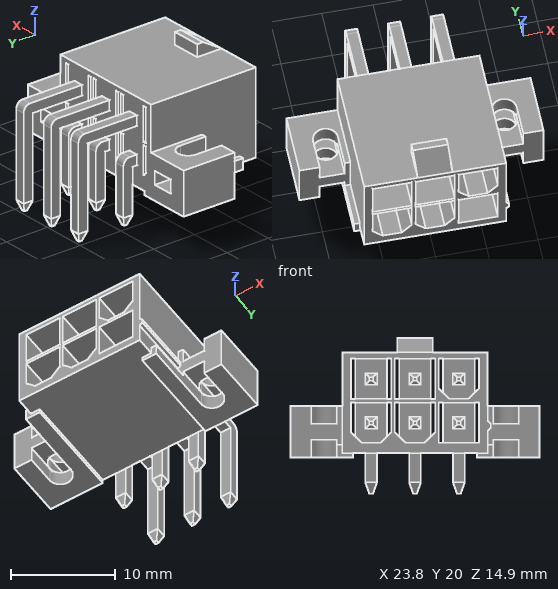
import cadquery as cq

OVERLAP = 0.24

HOUSING_WIDTH = 13.85
HOUSING_DEPTH = 12.83
HOUSING_BOTTOM = 0.43
HOUSING_TOP = 10.05

PITCH = 4.2
COLUMNS = [-PITCH, 0, PITCH]
LOWER_ROW = 3.3
UPPER_ROW = LOWER_ROW + PITCH

CAVITY_SIZE = 3.83
CAVITY_CHAMFER = 1.0
CAVITY_LIFT = 0.02
REAR_WALL_WIDTH = 3.05
REAR_WALL_DEPTH = 2.85
KEYED_CAVITIES = [(COLUMNS[0], LOWER_ROW), (COLUMNS[1], LOWER_ROW), (COLUMNS[2], UPPER_ROW)]
SQUARE_CAVITIES = [(COLUMNS[0], UPPER_ROW), (COLUMNS[1], UPPER_ROW), (COLUMNS[2], LOWER_ROW)]

LATCH_WIDTH = 3.4
LATCH_DEPTH = 3.0
LATCH_FLAT = 0.71
LATCH_HEIGHT = 1.38

RIB_HEIGHT = 0.29
RIB_BASE = 1.0
RIB_CREST = 0.43
RIB_LEVEL = 3.02

EAR_SPAN = 23.8
EAR_DEPTH = 6.24
EAR_HEIGHT = 4.93
EAR_WEB = 1.5
HOLE_DIAMETER = 2.43
HOLE_X = 8.7

RAIL_INNER_X = 5.9
RAIL_OUTER_X = HOLE_X - HOLE_DIAMETER / 2
RAIL_HEIGHT = 1.21
RAIL_SETBACK = 2.0

PIN_SIZE = 1.15
PIN_FRONT_Y = 3.8
PIN_TAPER = 1.1
TIP_SIZE = 0.35
TAIL_TIP_Z = -3.47
BEND_RADIUS = 0.79
UPPER_PIN_REAR = 19.97
LOWER_PIN_REAR = 14.47


def box(x_range, y_range, z_range):
    """Box from its start and end along each axis."""
    lows, highs = zip(x_range, y_range, z_range)
    size = [high - low for low, high in zip(lows, highs)]
    return cq.Workplane("XY").box(*size, centered=False).translate(lows)


def make_latch():
    rear = LATCH_DEPTH
    crest = HOUSING_TOP + LATCH_HEIGHT
    base = HOUSING_TOP - OVERLAP
    outline = [
        (0, base), (0, HOUSING_TOP), (rear - LATCH_FLAT, crest), (rear, crest), (rear, base),
    ]
    return cq.Workplane("YZ").polyline(outline).close().extrude(LATCH_WIDTH / 2, both=True)


def make_rib():
    side = HOUSING_WIDTH / 2
    outline = [
        (side - OVERLAP, RIB_LEVEL - RIB_BASE / 2),
        (side, RIB_LEVEL - RIB_BASE / 2),
        (side + RIB_HEIGHT, RIB_LEVEL - RIB_CREST / 2),
        (side + RIB_HEIGHT, RIB_LEVEL + RIB_CREST / 2),
        (side, RIB_LEVEL + RIB_BASE / 2),
        (side - OVERLAP, RIB_LEVEL + RIB_BASE / 2),
    ]
    return cq.Workplane("XZ").polyline(outline).close().extrude(-HOUSING_DEPTH)


def make_right_ear():
    """Ear on the +X side with a vertical hole.

    The hole runs out to the front above and below the web, and to the rear at web level.
    """
    front = HOUSING_DEPTH - EAR_DEPTH
    hole_y = HOUSING_DEPTH - EAR_DEPTH / 2
    radius = HOLE_DIAMETER / 2
    web_bottom = (EAR_HEIGHT - EAR_WEB) / 2
    web_top = web_bottom + EAR_WEB
    ear = box((RAIL_INNER_X, EAR_SPAN / 2), (front, HOUSING_DEPTH), (0, EAR_HEIGHT))
    ear = ear.cut(cq.Workplane("XY").center(HOLE_X, hole_y).circle(radius).extrude(EAR_HEIGHT))
    slots = [
        ((front, hole_y), (0, web_bottom)),
        ((hole_y, HOUSING_DEPTH), (web_bottom, web_top)),
        ((front, hole_y), (web_top, EAR_HEIGHT)),
    ]
    for y_range, z_range in slots:
        ear = ear.cut(box((HOLE_X - radius, HOLE_X + radius), y_range, z_range))
    return ear


def make_right_rail():
    return box((RAIL_INNER_X, RAIL_OUTER_X), (RAIL_SETBACK, HOUSING_DEPTH), (0, RAIL_HEIGHT))


def make_cavity(x, z, chamfer):
    """Cavity around the pin at (x, z) through the full depth, with chamfered lower corners."""
    block = cq.Workplane("XZ").center(x, z + CAVITY_LIFT).rect(CAVITY_SIZE, CAVITY_SIZE)
    block = block.extrude(-HOUSING_DEPTH)
    if chamfer:
        block = block.faces("<Z").edges("|Y").chamfer(chamfer)
    return block


def make_rear_wall(x, z):
    """Pin-holding wall at the rear of a cavity, leaving a gap on both sides."""
    side = REAR_WALL_WIDTH / 2
    half_height = CAVITY_SIZE / 2
    middle = z + CAVITY_LIFT
    return box(
        (x - side, x + side),
        (HOUSING_DEPTH - REAR_WALL_DEPTH, HOUSING_DEPTH),
        (middle - half_height, middle + half_height),
    )


def make_housing():
    half_width = HOUSING_WIDTH / 2
    body = box((-half_width, half_width), (0, HOUSING_DEPTH), (HOUSING_BOTTOM, HOUSING_TOP))
    body = body.union(make_latch()).union(make_rib())
    side_mount = make_right_ear().union(make_right_rail())
    body = body.union(side_mount).union(side_mount.mirror("YZ"))
    cavities = [make_cavity(x, z, CAVITY_CHAMFER) for x, z in KEYED_CAVITIES]
    cavities += [make_cavity(x, z, 0) for x, z in SQUARE_CAVITIES]
    rear_walls = [make_rear_wall(x, z) for x, z in KEYED_CAVITIES + SQUARE_CAVITIES]
    for cavity, rear_wall in zip(cavities, rear_walls):
        body = body.cut(cavity.cut(rear_wall))
    return body


def make_taper(base_plane):
    """Pyramid point growing from a square pin end along the plane's normal."""
    taper = cq.Workplane(base_plane).rect(PIN_SIZE, PIN_SIZE)
    return taper.workplane(offset=PIN_TAPER).rect(TIP_SIZE, TIP_SIZE).loft(ruled=True)


def make_pin(x, z, rear):
    """Right-angle pin in a vertical plane: contact at height z, tail dropping at depth rear."""
    half = PIN_SIZE / 2
    contact_start = PIN_FRONT_Y + PIN_TAPER
    tail_end = TAIL_TIP_Z + PIN_TAPER
    x_range = (x - half, x + half)
    contact = box(x_range, (contact_start, rear), (z - half, z + half))
    tail = box(x_range, (rear - PIN_SIZE, rear), (tail_end, z + half))
    pin = contact.union(tail)
    pin = pin.edges("|X").edges(">Y and >Z").fillet(BEND_RADIUS)
    front_end = cq.Plane(origin=(x, contact_start, z), xDir=(1, 0, 0), normal=(0, -1, 0))
    tail_base = cq.Plane(origin=(x, rear - half, tail_end), xDir=(1, 0, 0), normal=(0, 0, -1))
    pin = pin.union(make_taper(front_end))
    return pin.union(make_taper(tail_base))


pins = []
for row, rear_reach in [(LOWER_ROW, LOWER_PIN_REAR), (UPPER_ROW, UPPER_PIN_REAR)]:
    for column in COLUMNS:
        pins.append(make_pin(column, row, rear_reach))

housing = make_housing()
for pin in pins:
    housing = housing.cut(pin)

result = cq.Compound.makeCompound([housing.val(), *[pin.val() for pin in pins]])